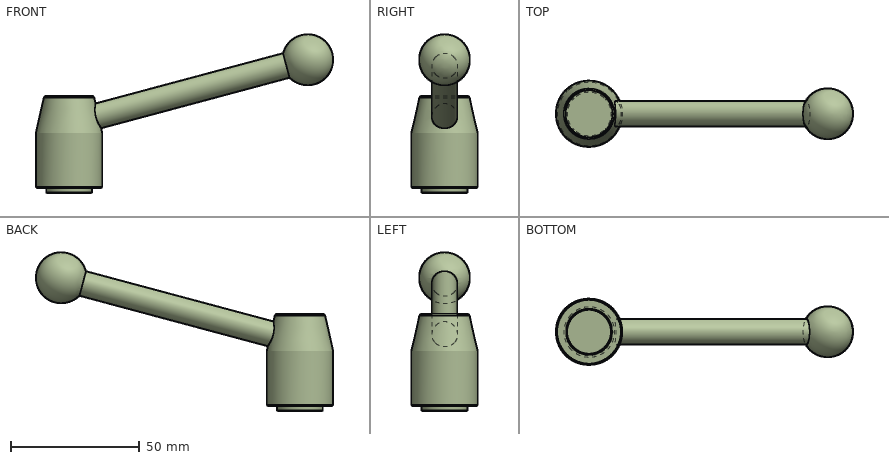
import cadquery as cq
import math

hub_diameter = 26.0
foot_diameter = 18.0
foot_height = 2.0
foot_chamfer = 0.5
hub_chamfer = 0.6
cone_base_z = 23.5
cone_top_diameter = 19.7
hub_height = 38.0
top_chamfer = 0.7

overall_length = 116.0
overall_height = 62.0
ball_diameter = 20.0
rod_diameter = 10.0
rod_angle = 15.0

hub_radius = hub_diameter / 2
foot_radius = foot_diameter / 2
cone_top_radius = cone_top_diameter / 2
ball_radius = ball_diameter / 2
ball_x = overall_length - hub_radius - ball_radius
ball_z = overall_height - ball_radius


def make_hub():
    """Revolve the half section of foot, cylinder and cone about Z."""
    return (
        cq.Workplane("XZ")
        .lineTo(foot_radius - foot_chamfer, 0)
        .lineTo(foot_radius, foot_chamfer)
        .lineTo(foot_radius, foot_height)
        .lineTo(hub_radius - hub_chamfer, foot_height)
        .lineTo(hub_radius, foot_height + hub_chamfer)
        .lineTo(hub_radius, cone_base_z)
        .lineTo(cone_top_radius, hub_height - top_chamfer)
        .lineTo(cone_top_radius - top_chamfer, hub_height)
        .lineTo(0, hub_height)
        .close()
        .revolve(360, (0, 0, 0), (0, 1, 0))
    )


def make_rod():
    """Run the rod from the hub axis up to the centre of the ball."""
    length = ball_x / math.cos(math.radians(rod_angle))
    start_z = ball_z - ball_x * math.tan(math.radians(rod_angle))
    direction = cq.Vector(
        math.cos(math.radians(rod_angle)), 0, math.sin(math.radians(rod_angle))
    )
    return cq.Workplane(
        cq.Solid.makeCylinder(rod_diameter / 2, length, cq.Vector(0, 0, start_z), direction)
    )


def make_ball():
    return cq.Workplane("XY").sphere(ball_radius).translate((ball_x, 0, ball_z))


result = make_hub().union(make_rod()).union(make_ball())